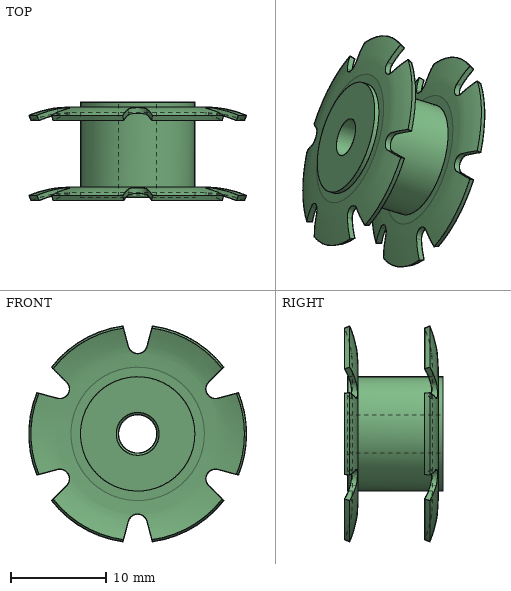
import cadquery as cq
import math

FULL_TURN = 360
HUB_AXIS = ((0, 0, 0), (0, 1, 0))

HUB_RADIUS = 6.0
HUB_LENGTH = 10.0
BORE_RADIUS = 2.0
BORE_CHAMFER = 0.25

FLANGE_THICKNESS = 0.6
FLAT_RADIUS = 7.0
RIM_RADIUS = 11.43
CONCAVE_RADIUS = 10.9
FLANGE_SETBACK = 0.5

CONVEX_RADIUS = CONCAVE_RADIUS + FLANGE_THICKNESS
CURL_ANGLE = math.asin((RIM_RADIUS - FLAT_RADIUS) / CONVEX_RADIUS)

NOTCH_COUNT = 6
NOTCH_RADIUS = 1.0
NOTCH_CENTER = 9.43
NOTCH_FLARE = math.radians(15)
NOTCH_REACH = RIM_RADIUS + NOTCH_RADIUS

REAR_FLANGE_Y = HUB_LENGTH - FLANGE_SETBACK
FRONT_FLANGE_Y = FLANGE_SETBACK + FLANGE_THICKNESS

FLANGE_DEPTH = CONVEX_RADIUS - CONCAVE_RADIUS * math.cos(CURL_ANGLE)
RIM_OVERHANG = FLANGE_DEPTH - FRONT_FLANGE_Y


def make_hub():
    """Solid drum with its front face at Y = 0."""
    return cq.Workplane("XZ").circle(HUB_RADIUS).extrude(-HUB_LENGTH)


def make_bore():
    """Through bore with a chamfer at the front mouth, as a cutting body."""
    mouth_radius = BORE_RADIUS + BORE_CHAMFER
    profile = (
        cq.Workplane("XY")
        .moveTo(0, 0)
        .lineTo(mouth_radius, 0)
        .lineTo(BORE_RADIUS, BORE_CHAMFER)
        .lineTo(BORE_RADIUS, HUB_LENGTH)
        .lineTo(0, HUB_LENGTH)
        .close()
    )
    return profile.revolve(FULL_TURN, *HUB_AXIS)


def make_flange(back_y):
    """Curled disc whose flat back face lies at back_y."""
    center_y = back_y - CONVEX_RADIUS

    def curl_point(radius, angle):
        return (FLAT_RADIUS + radius * math.sin(angle), center_y + radius * math.cos(angle))

    front_y = back_y - FLANGE_THICKNESS
    inner_radius = (BORE_RADIUS + HUB_RADIUS) / 2
    profile = (
        cq.Workplane("XY")
        .moveTo(inner_radius, back_y)
        .lineTo(FLAT_RADIUS, back_y)
        .threePointArc(curl_point(CONVEX_RADIUS, CURL_ANGLE / 2), curl_point(CONVEX_RADIUS, CURL_ANGLE))
        .lineTo(*curl_point(CONCAVE_RADIUS, CURL_ANGLE))
        .threePointArc(curl_point(CONCAVE_RADIUS, CURL_ANGLE / 2), (FLAT_RADIUS, front_y))
        .lineTo(inner_radius, front_y)
        .close()
    )
    return profile.revolve(FULL_TURN, *HUB_AXIS)


def make_notch():
    """Round-rooted flared slot on the +Z side, running through both flanges."""
    tangent_x = NOTCH_RADIUS * math.cos(NOTCH_FLARE)
    tangent_z = NOTCH_CENTER - NOTCH_RADIUS * math.sin(NOTCH_FLARE)
    mouth_x = tangent_x + (NOTCH_REACH - tangent_z) * math.tan(NOTCH_FLARE)
    outline = (
        cq.Workplane("XZ", origin=(0, -RIM_OVERHANG, 0))
        .moveTo(-tangent_x, tangent_z)
        .threePointArc((0, NOTCH_CENTER - NOTCH_RADIUS), (tangent_x, tangent_z))
        .lineTo(mouth_x, NOTCH_REACH)
        .lineTo(-mouth_x, NOTCH_REACH)
        .close()
    )
    return outline.extrude(-(HUB_LENGTH + RIM_OVERHANG))


result = make_hub()
for flange_y in (FRONT_FLANGE_Y, REAR_FLANGE_Y):
    result = result.union(make_flange(flange_y))
notch = make_notch()
for index in range(NOTCH_COUNT):
    angle = index * FULL_TURN / NOTCH_COUNT
    result = result.cut(notch.rotate(*HUB_AXIS, angle))
result = result.cut(make_bore())